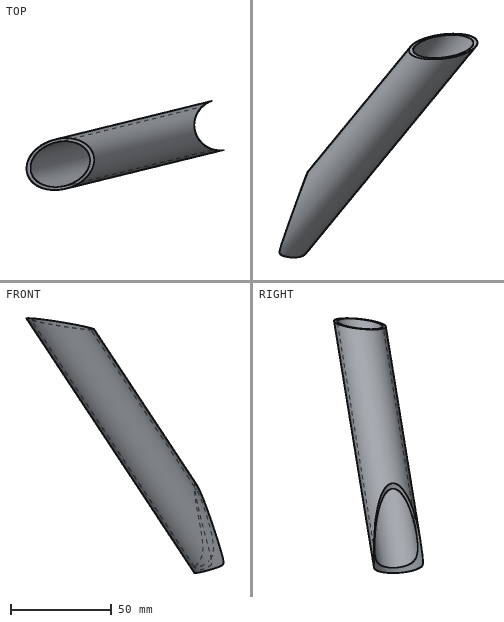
import cadquery as cq
import math

outer_radius = 12.6
wall = 1.5
post_clearance = 0.05
post_radius = outer_radius + post_clearance
axis_length = 146.0
tilt = 34.2
heading = 13.8
top_slope_x = 0.153
top_slope_y = 0.078
overrun = 4 * outer_radius


def point_on_axis(distance):
    """Point on the tube axis, measured upward from the post axis."""
    horizontal = -distance * math.sin(math.radians(tilt))
    return cq.Vector(
        horizontal * math.cos(math.radians(heading)),
        horizontal * math.sin(math.radians(heading)),
        distance * math.cos(math.radians(tilt)),
    )


tube_plane = cq.Plane(origin=point_on_axis(-overrun), normal=point_on_axis(1))
tube_length = axis_length + 2 * overrun
tube = (
    cq.Workplane(tube_plane)
    .circle(outer_radius)
    .circle(outer_radius - wall)
    .extrude(tube_length)
)

top_plane = cq.Plane(origin=point_on_axis(axis_length), normal=(top_slope_x, top_slope_y, 1))
above_top = cq.Workplane(top_plane).rect(2 * tube_length, 2 * tube_length).extrude(tube_length)
tube = tube.cut(above_top)

post = cq.Workplane("XY").circle(post_radius).extrude(tube_length, both=True)
pieces = tube.cut(post).solids().vals()
result = cq.Workplane(max(pieces, key=lambda piece: piece.Volume()))